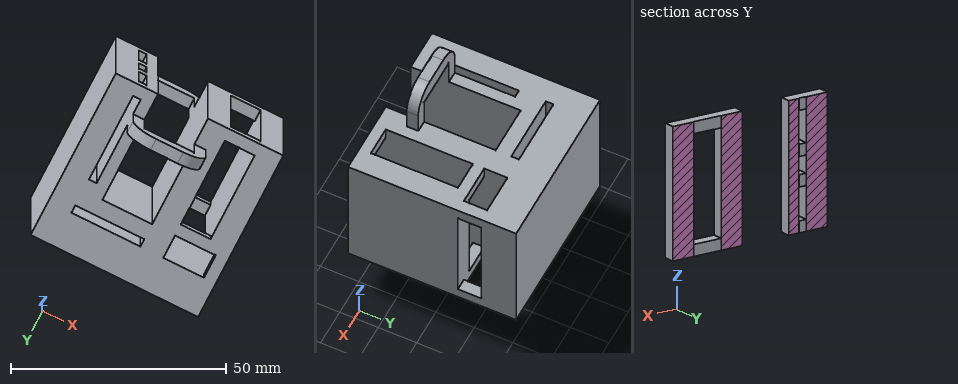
import cadquery as cq

block_width = 43.75
block_depth = 43.75
block_height = 33.2
wall = 3.0

channel_left = 11.05
channel_width = 13.0
channel_depth = 28.6
channel_right = channel_left + channel_width

narrow_slot = 2.0
left_slot_x = 6.05
front_pocket_back = 25.6
right_pocket_x = 30.0
front_pocket_width = 7.75
rear_pocket_right = 40.6
rear_opening_back = 34.6

middle_window_height = 4.5

loop_height = 56.95
loop_thickness = 3.0
loop_front = 6.95
loop_bar = 4.5
loop_radius = 6.0


def box(x_range, y_range, z_range):
    """Box filling the given (low, high) range on each axis."""
    ranges = (x_range, y_range, z_range)
    size = [high - low for low, high in ranges]
    corner = tuple(low for low, high in ranges)
    return cq.Workplane("XY").box(*size, centered=False).translate(corner)


full_height = (-block_height / 2, block_height / 2)
left_slot_range = (left_slot_x, left_slot_x + narrow_slot)
front_pocket_range = (right_pocket_x, right_pocket_x + front_pocket_width)
front_pocket_depth = (wall, front_pocket_back)
rear_pocket_depth = (channel_depth, rear_opening_back)
front_wall = (0, wall)
window_top = block_height / 2 - wall


def make_block():
    body = box((0, block_width), (0, block_depth), full_height)
    return body.cut(box((channel_left, channel_right), (0, channel_depth), full_height))


def cut_upright_openings(body):
    openings = [
        (left_slot_range, front_pocket_depth),
        (front_pocket_range, front_pocket_depth),
        ((left_slot_x, channel_right), (rear_opening_back - narrow_slot, rear_opening_back)),
        ((right_pocket_x, rear_pocket_right), rear_pocket_depth),
    ]
    for x_range, y_range in openings:
        body = body.cut(box(x_range, y_range, full_height))
    return body


def cut_left_windows(body):
    """Open the left slot through the front wall with three stacked windows."""
    middle_top = middle_window_height / 2
    outer_bottom = middle_top + wall
    stacked_windows = [
        (-window_top, -outer_bottom),
        (-middle_top, middle_top),
        (outer_bottom, window_top),
    ]
    for z_range in stacked_windows:
        body = body.cut(box(left_slot_range, front_wall, z_range))
    return body


def cut_right_passage(body):
    """Run a tall passage from the front face to the rear pocket and out of the right side."""
    passage_height = (-window_top, window_top)
    body = body.cut(box(front_pocket_range, (0, rear_opening_back), passage_height))
    return body.cut(box((right_pocket_x, block_width), rear_pocket_depth, passage_height))


def make_loop():
    leg = channel_left - left_slot_range[1]
    loop_range = (channel_left - leg, channel_right + leg)
    loop_depth = (loop_front, loop_front + loop_thickness)
    loop_top = loop_height / 2
    opening_top = loop_top - loop_bar
    loop = box(loop_range, loop_depth, (-loop_top, loop_top))
    loop = loop.edges("|Y").fillet(loop_radius)
    return loop.cut(box((channel_left, channel_right), loop_depth, (-opening_top, opening_top)))


body = make_block()
body = cut_upright_openings(body)
body = cut_left_windows(body)
body = cut_right_passage(body)
result = body.union(make_loop())